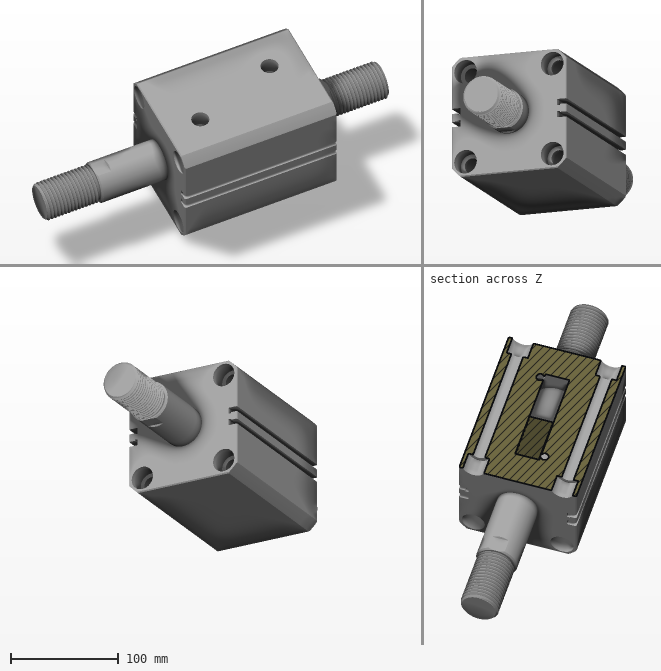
import cadquery as cq
import math


housing_width = 114.0
housing_length = 155.8
corner_edge = 48.0
end_chamfer = 1.0

total_length = 350.0
rod_radius = 20.0
shoulder_reach = 120.0
shoulder_chamfer = 1.5
flat_spacing = 36.8
flat_length = 14.5
flat_ramp = 1.0
neck_length = 1.5

thread_pitch = 3.5
thread_radius = 18.5
thread_depth = 2.28
root_radius = thread_radius - thread_depth
crest_width = 0.42
flank_angle = 30.0
tip_radius = 16.5

stroke = 50.0
bore_radius = 2 * rod_radius
chamber_length = 94.5
piston_length = chamber_length - stroke
rod_middle = -stroke / 2

mount_offset = 43.0
mount_radius = 7.5
mount_counterbore_radius = 11.2
mount_counterbore_depth = 17.5

port_x = 15.5
port_y = 42.7
port_mouth_radius = 8.5
port_floor_radius = 7.5
port_depth = 15.8
feed_radius = 3.5

groove_depth = 9.0
groove_outer = 8.8
rib_half_height = 4.0
rib_head_depth = 6.3
rib_neck_half_height = 2.8


def rod_cylinder(radius, length, middle):
    """Cylinder on the rod axis, centred at the given Y."""
    return cq.Workplane("XZ", origin=(0, middle + length / 2, 0)).circle(radius).extrude(length)


def make_block():
    """Square block with chamfered ends, its long corners turned round about the rod axis."""
    block = cq.Workplane("XY").box(housing_width, housing_length, housing_width)
    block = block.faces("<Y or >Y").chamfer(end_chamfer)
    corner_radius = math.hypot(housing_width / 2, corner_edge)
    return block.intersect(rod_cylinder(corner_radius, housing_length, 0))


def make_mount_holes():
    """Four through holes, counterbored at both ends."""
    spacing = 2 * mount_offset
    holes = (
        cq.Workplane("XZ", origin=(0, housing_length / 2, 0))
        .rarray(spacing, spacing, 2, 2)
        .circle(mount_radius)
        .extrude(housing_length)
    )
    for end in (-1, 1):
        counterbores = (
            cq.Workplane("XZ", origin=(0, end * housing_length / 2, 0))
            .rarray(spacing, spacing, 2, 2)
            .circle(mount_counterbore_radius)
            .extrude(end * mount_counterbore_depth)
        )
        holes = holes.union(counterbores)
    return holes


def make_port(x, y):
    """Tapered blind port with a narrow feed hole down to the chamber."""
    top = housing_width / 2
    profile = [
        (0, 0),
        (feed_radius, 0),
        (feed_radius, top - port_depth),
        (port_floor_radius, top - port_depth),
        (port_mouth_radius, top),
        (0, top),
    ]
    port = cq.Workplane("XZ").polyline(profile).close().revolve(360, (0, 0), (0, 1))
    return port.translate((x, y, 0))


def make_groove(side, level):
    """Full-length groove in one X side, above (level 1) or below (level -1) the rib."""
    face = housing_width / 2
    floor = face - groove_depth
    head = face - rib_head_depth
    outline = [
        (face, groove_outer),
        (floor, groove_outer),
        (floor, rib_neck_half_height),
        (head, rib_neck_half_height),
        (head, rib_half_height),
        (face, rib_half_height),
    ]
    points = [(side * x, level * z) for x, z in outline]
    section = cq.Workplane("XZ", origin=(0, housing_length / 2, 0)).polyline(points).close()
    return section.extrude(housing_length)


def make_housing():
    housing = make_block()
    housing = housing.cut(make_mount_holes())
    housing = housing.cut(rod_cylinder(rod_radius, housing_length, 0))
    housing = housing.cut(rod_cylinder(bore_radius, chamber_length, 0))
    for end in (-1, 1):
        housing = housing.cut(make_port(-end * port_x, end * port_y))
    for side in (-1, 1):
        for level in (-1, 1):
            housing = housing.cut(make_groove(side, level))
    return housing


def make_thread_ridge(length):
    """Right-handed helical ridge running up from Z = 0, its base sunk a little into the core."""
    sink = 0.18
    flank_slope = math.tan(math.radians(flank_angle))
    crest_half = crest_width / 2
    base_half = crest_half + (thread_depth + sink) * flank_slope
    helix = cq.Wire.makeHelix(thread_pitch, length, root_radius)
    section = [
        (root_radius - sink, -base_half),
        (thread_radius, -crest_half),
        (thread_radius, crest_half),
        (root_radius - sink, base_half),
    ]
    return cq.Workplane("XZ").polyline(section).close().sweep(cq.Workplane(obj=helix), isFrenet=True)


def make_threaded_end():
    """Neck and threaded stud, from the shoulder at Z = 0 up to the chamfered tip."""
    length = total_length / 2 - shoulder_reach
    envelope = (
        cq.Workplane("XY", origin=(0, 0, neck_length))
        .circle(rod_radius)
        .extrude(length - neck_length)
        .faces(">Z")
        .chamfer(rod_radius - tip_radius)
    )
    ridge = make_thread_ridge(length + thread_pitch).intersect(envelope)
    return cq.Workplane("XY").circle(root_radius).extrude(length).union(ridge)


def make_flat_cutter(side, end):
    """Wrench flat beside one shoulder, with a sloped inner end."""
    flat = flat_spacing / 2
    inner = shoulder_reach - flat_length
    outline = [
        (shoulder_reach, flat),
        (inner, flat),
        (inner - flat_ramp, rod_radius),
        (shoulder_reach, rod_radius),
    ]
    points = [(end * y, side * z) for y, z in outline]
    return cq.Workplane("YZ").polyline(points).close().extrude(rod_radius, both=True)


def make_rod():
    rod = rod_cylinder(rod_radius, 2 * shoulder_reach, 0).faces("<Y or >Y").chamfer(shoulder_chamfer)
    stud = make_threaded_end().translate((0, 0, shoulder_reach))
    for end in (-1, 1):
        for side in (-1, 1):
            rod = rod.cut(make_flat_cutter(side, end))
        rod = rod.union(stud.rotate((0, 0, 0), (1, 0, 0), -end * 90))
    return rod.translate((0, rod_middle, 0))


def make_piston():
    """Plain ring on the middle of the rod, filling the bore."""
    piston = rod_cylinder(bore_radius, piston_length, rod_middle)
    return piston.cut(rod_cylinder(rod_radius, piston_length, rod_middle))


housing = make_housing()
rod = make_rod()
piston = make_piston()

result = cq.Compound.makeCompound([body.solids().val() for body in (housing, rod, piston)])